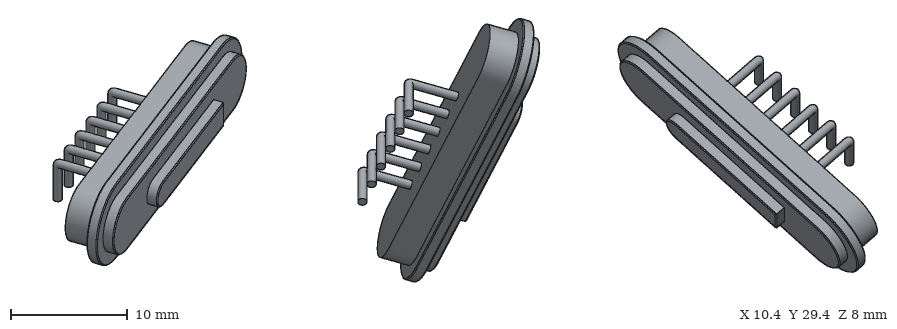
import cadquery as cq
import math


flange_length = 29.4
flange_height = 8.0
flange_inset = 1.23
block_depth = 2.6
flange_depth = 1.0
step_depth = 1.0
edge_chamfer = 0.1

block_length = flange_length - 2 * flange_inset
block_height = flange_height - 2 * flange_inset
flange_rear = block_depth
flange_front = flange_rear + flange_depth
housing_front = flange_front + step_depth

boss_length = 13.5
boss_height = 2.5
boss_depth = 1.0
contact_count = 6
contact_pitch = 2.2
contact_diameter = 0.8
contact_radius = contact_diameter / 2
bend_radius = 0.2
tail_reach = 4.82
tail_drop = 3.88

tail_x = contact_radius - tail_reach
bend_x = tail_x + bend_radius
bend_z = -bend_radius
contact_positions = [(i - (contact_count - 1) / 2) * contact_pitch for i in range(contact_count)]


def rounded_slab(length, height, rear, depth):
    """Slab with full-round ends along Y, extruded toward +X from the rear plane."""
    return cq.Workplane("YZ").workplane(offset=rear).slot2D(length, height).extrude(depth)


def contact_shank(y, start):
    """Straight horizontal length of a contact, from start to the front of the housing."""
    return (
        cq.Workplane("YZ")
        .workplane(offset=start)
        .center(y, 0)
        .circle(contact_radius)
        .extrude(housing_front - start)
    )


def make_housing():
    block = rounded_slab(block_length, block_height, 0, block_depth)
    flange = rounded_slab(flange_length, flange_height, flange_rear, flange_depth)
    flange = flange.faces("<X or >X").chamfer(edge_chamfer)
    step = rounded_slab(block_length, block_height, flange_front, step_depth)
    step = step.faces(">X").chamfer(edge_chamfer)
    housing = block.union(flange).union(step)
    for y in contact_positions:
        housing = housing.cut(contact_shank(y, 0))
    return housing


def make_boss():
    """Boss with a full-round -Y end and a square +Y end, so it mates one way only."""
    half_height = boss_height / 2
    square_end = boss_length / 2
    round_end = -boss_length / 2
    arc_start = round_end + half_height
    return (
        cq.Workplane("YZ")
        .workplane(offset=housing_front)
        .moveTo(arc_start, half_height)
        .lineTo(square_end, half_height)
        .lineTo(square_end, -half_height)
        .lineTo(arc_start, -half_height)
        .threePointArc((round_end, 0), (arc_start, half_height))
        .close()
        .extrude(boss_depth)
        .faces(">X")
        .chamfer(edge_chamfer)
    )


def make_bend(y):
    """Quarter-turn elbow: the part of the contact section outside the bend axis, revolved."""
    half_chord = math.sqrt(contact_radius**2 - bend_radius**2)
    return (
        cq.Workplane("XY", origin=(bend_x, y, bend_z))
        .moveTo(0, -half_chord)
        .threePointArc((-bend_radius - contact_radius, 0), (0, half_chord))
        .close()
        .revolve(90, (0, 0), (0, 1))
    )


def make_contact(y):
    tail = (
        cq.Workplane("XY", origin=(tail_x, y, -tail_drop))
        .circle(contact_radius)
        .extrude(tail_drop + bend_z)
    )
    return contact_shank(y, bend_x).union(tail).union(make_bend(y))


def make_contact_insert():
    insert = make_boss()
    for y in contact_positions:
        insert = insert.union(make_contact(y))
    return insert


housing = make_housing()
contact_insert = make_contact_insert()

result = cq.Compound.makeCompound([housing.solids().val(), contact_insert.solids().val()])